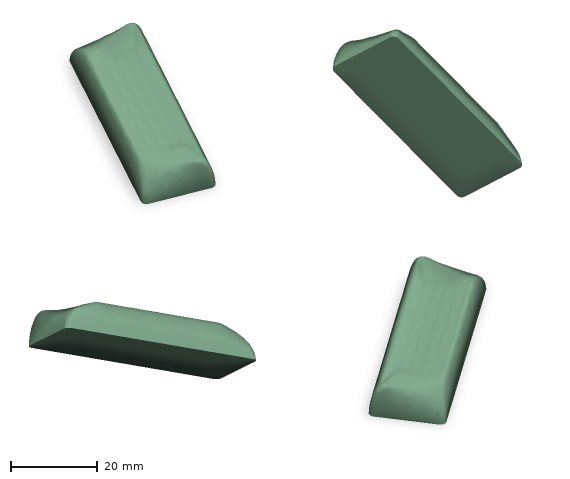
import math

import cadquery as cq

LENGTH = 51.68
WIDTH = 18.40
CORNER_RADIUS = 1.4
STRAIGHT_LENGTH = 33.16

HALF_LENGTH = LENGTH / 2
HALF_WIDTH = WIDTH / 2
JOIN_X = STRAIGHT_LENGTH / 2
CORNER_X = HALF_LENGTH - CORNER_RADIUS
CORNER_Y = HALF_WIDTH - CORNER_RADIUS

FRONT_RIM = (JOIN_X, -6.46, 7.94)
BACK_RIM = (JOIN_X, 6.30, 7.30)
DISH_BOTTOM = (JOIN_X, -1.0, 6.85)
RIM_POINTS = [
    FRONT_RIM,
    (17.35, -6.30, 7.84),
    (19.00, -4.30, 7.42),
    (20.85, -1.60, 7.15),
    (22.45, 1.65, 7.45),
    (23.55, 4.40, 7.96),
    (22.95, 5.55, 7.99),
    (21.80, 5.98, 7.55),
    (19.50, 6.23, 7.24),
    BACK_RIM,
]

FRONT_STYLE = (5.5, 0.65, 1.0)
FRONT_CORNER_STYLE = (4.2, 0.45, -0.6)
END_STYLE = (5.0, 0.58, 0.2)
TIP_STYLE = (5.7, 0.50, 0.70)
BACK_CORNER_STYLE = (5.0, 0.45, 0.65)
BACK_STYLE = (4.0, 0.60, -0.1)
LOWER_LEAN = 0.04

SIDE_RUN = CORNER_X - JOIN_X
CORNER_RUN = math.pi / 2 * CORNER_RADIUS
END_RUN = 2 * CORNER_Y
FOOT_LENGTH = 2 * SIDE_RUN + 2 * CORNER_RUN + END_RUN

WALL_KEYS = [
    (0, 0, FRONT_STYLE),
    (SIDE_RUN, 0.045, FRONT_CORNER_STYLE),
    (SIDE_RUN + CORNER_RUN, 0.11, FRONT_CORNER_STYLE),
    (FOOT_LENGTH / 2, 0.36, END_STYLE),
    (SIDE_RUN + CORNER_RUN + END_RUN, 0.62, TIP_STYLE),
    (SIDE_RUN + 2 * CORNER_RUN + END_RUN, 0.70, BACK_CORNER_STYLE),
    (FOOT_LENGTH, 1, BACK_STYLE),
]
MERIDIAN_COUNT = 81
SEWING_TOLERANCE = 1e-3


def mix(start, end, share):
    """Values part of the way from one tuple to another."""
    return tuple(a + (b - a) * share for a, b in zip(start, end))


def foot_point(run):
    """Footprint point at a distance from the front join."""
    if run > FOOT_LENGTH / 2:
        x, y = foot_point(FOOT_LENGTH - run)
        return (x, -y)
    if run <= SIDE_RUN:
        return (JOIN_X + run, -HALF_WIDTH)
    if run >= SIDE_RUN + CORNER_RUN:
        return (HALF_LENGTH, run - FOOT_LENGTH / 2)
    angle = (run - SIDE_RUN) / CORNER_RADIUS
    return (CORNER_X + CORNER_RADIUS * math.sin(angle), -CORNER_Y - CORNER_RADIUS * math.cos(angle))


def wall_form(run):
    """Rim share and wall style above a footprint point, blended between the neighbouring keys."""
    for (run_a, rim_a, style_a), (run_b, rim_b, style_b) in zip(WALL_KEYS, WALL_KEYS[1:]):
        if run <= run_b:
            break
    share = (run - run_a) / (run_b - run_a)
    return rim_a + (rim_b - rim_a) * share, mix(style_a, style_b, share)


def meridian(run, rim_edge):
    """Wall curve from the footprint up and over to the dish rim."""
    base = foot_point(run)
    rim_share, (lower_height, upper_reach, upper_rise) = wall_form(run)
    rim = rim_edge.positionAt(rim_share)
    lower = mix(base, (rim.x, rim.y), LOWER_LEAN)
    upper = mix((rim.x, rim.y), base, upper_reach)
    return cq.Edge.makeBezier(
        [
            cq.Vector(*base, 0),
            cq.Vector(*lower, lower_height),
            cq.Vector(*upper, rim.z + upper_rise),
            rim,
        ]
    )


def end_wall():
    """Free-form wall sweeping around the end, lofted through its meridians."""
    rim = cq.Edge.makeSpline([cq.Vector(*point) for point in RIM_POINTS])
    spacing = FOOT_LENGTH / (MERIDIAN_COUNT - 1)
    meridians = [meridian(i * spacing, rim) for i in range(MERIDIAN_COUNT)]
    return cq.occ_impl.shapes.loft(*meridians, continuity="C1")


def planar_face(*edges):
    """Flat face bounded by a closed loop of edges."""
    return cq.Face.makeFromWires(cq.Wire.assembleEdges(edges))


def sculpted_end():
    """Solid end block on the +X side, with the flat face where it meets the middle."""
    wall = end_wall()
    edges = wall.Edges()
    foot_edge = min(edges, key=lambda edge: edge.BoundingBox().zmax)
    rim_edge = max(edges, key=lambda edge: edge.BoundingBox().zmin)
    front_edge = min(edges, key=lambda edge: edge.BoundingBox().ymax)
    back_edge = max(edges, key=lambda edge: edge.BoundingBox().ymin)

    dish_edge = cq.Edge.makeThreePointArc(
        cq.Vector(*FRONT_RIM), cq.Vector(*DISH_BOTTOM), cq.Vector(*BACK_RIM)
    )
    joint_foot_edge = cq.Edge.makeLine(
        cq.Vector(JOIN_X, -HALF_WIDTH, 0), cq.Vector(JOIN_X, HALF_WIDTH, 0)
    )
    dish = cq.Face.makeRuledSurface(rim_edge, dish_edge)
    bottom = planar_face(foot_edge, joint_foot_edge)
    joint = planar_face(front_edge, dish_edge, back_edge, joint_foot_edge)
    end = cq.occ_impl.shapes.solid([wall, dish, bottom, joint], tol=SEWING_TOLERANCE)
    return end, joint


right_end, right_joint = sculpted_end()
left_end = right_end.mirror("YZ")
middle = cq.Solid.extrudeLinear(right_joint, cq.Vector(-STRAIGHT_LENGTH, 0, 0))
body = cq.Workplane(middle).union(cq.Workplane(right_end)).union(cq.Workplane(left_end))
result = body.solids()